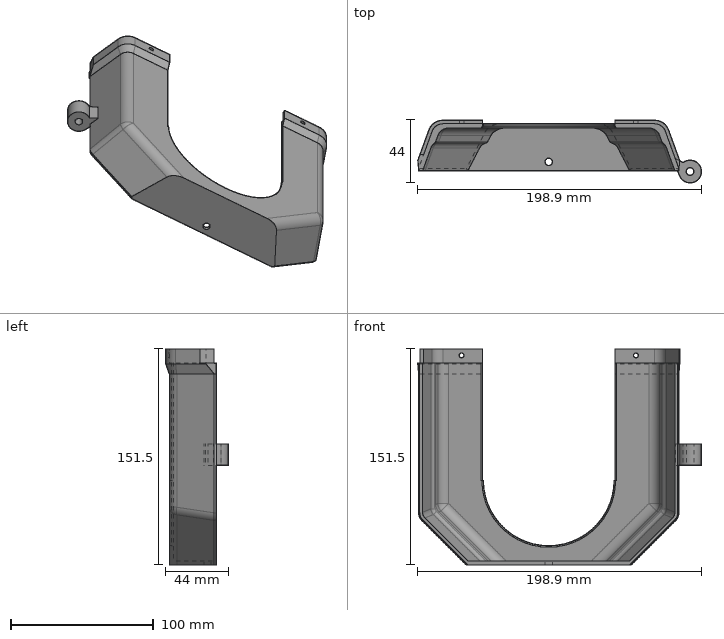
import cadquery as cq
import math


draft_angle = 20.0
draft = math.tan(math.radians(draft_angle))
body_depth = 33.0
floor_thickness = 3.0
bottom_thickness = 3.0
body_height = 141.5
overshoot = 150.0

outer_half_width = 91.8
lower_cavity_half_width = 88.4
upper_cavity_half_width = 86.7
corner_height = 33.3
corner_turn = math.radians(45)

corner_radius = 8.0
ledge_radius = 6.0
ledge_edge_radius = 2.0
upper_corner_raise = 1.0
lower_cavity_depth = 20.1
rim_chamfer_front = 1.7
rim_chamfer_side = 1.4

slot_half_width = 46.3
slot_arc_radius = 45.75
slot_arc_height = 59.4
slot_chamfer_width = 1.1
slot_chamfer_depth = 1.5

flange_thickness = 2.5
flange_top = 151.5
flange_bottom = 141.0
taper_bottom = 134.0
flange_overlap = 1.0
left_flange_start = 11.5
right_flange_start = 1.3
trim_half_width = 91.1
trim_slope = 0.1
flange_hole_diameter = 3.2
flange_hole_x = 61.1
flange_hole_z = 147.0

bottom_hole_diameter = 5.0
bottom_hole_y = 6.3
hinge_diameter = 16.0
hinge_hole_diameter = 5.2
hinge_x = 99.05
hinge_y = -0.5
hinge_bottom = 70.0
hinge_height = 15.0


def block(x_range, y_range, z_range):
    """Axis-aligned box from its limits."""
    sizes = [high - low for low, high in (x_range, y_range, z_range)]
    corner = (x_range[0], y_range[0], z_range[0])
    return cq.Workplane("XY").box(*sizes, centered=False).translate(corner)


def drafted_body(half_width, depth, edge_radius, corner_raise=0.0):
    """Drafted solid with 45 degree lower corners, closing in toward +Y.

    It runs past the top and bottom of the part so that only its side walls matter.
    """
    inset = outer_half_width - half_width
    corner_z = corner_height + corner_raise + inset * math.tan(corner_turn / 2)
    low_x = half_width - overshoot / 3
    low_z = corner_z - overshoot / 3
    high_z = body_height + overshoot
    right_side = [(low_z, low_x), (corner_z, half_width), (high_z, half_width)]
    left_side = [(z, -x) for z, x in reversed(right_side)]
    solid = (
        cq.Workplane("ZX")
        .polyline(right_side + left_side)
        .close()
        .extrude(depth, taper=draft_angle)
    )
    rounded_edges = solid.faces(">Y").edges("not |X").vals()
    mid_depth = depth / 2
    edge_x = half_width - draft * mid_depth
    edge_z = corner_z + draft * mid_depth * math.tan(corner_turn / 2)
    for side in (-1, 1):
        nearest = cq.selectors.NearestToPointSelector((side * edge_x, mid_depth, edge_z))
        rounded_edges.append(solid.edges(nearest).val())
    return solid.newObject(rounded_edges).fillet(edge_radius)


def cavity():
    """Inner space: a wide part at the rim steps in to a deeper part at the back plate."""
    upper_depth = body_depth - floor_thickness
    upper = drafted_body(upper_cavity_half_width, upper_depth, corner_radius, upper_corner_raise)
    lower = drafted_body(lower_cavity_half_width, lower_cavity_depth, ledge_radius)
    both = upper.union(lower)
    step_x = upper_cavity_half_width - draft * lower_cavity_depth
    turn_reach = (step_x - corner_height) / 2
    step_edges = []
    for side in (-1, 1):
        on_leg = (side * step_x, lower_cavity_depth, body_height)
        on_turn = (side * (step_x - turn_reach), lower_cavity_depth, corner_height - turn_reach)
        for point in (on_leg, on_turn):
            step_edges.append(both.edges(cq.selectors.NearestToPointSelector(point)).val())
    return both.newObject(step_edges).fillet(ledge_edge_radius)


def shell():
    """Walls, back plate and flat bottom."""
    outer = drafted_body(outer_half_width, body_depth, corner_radius)
    outer = outer.faces("<Y").chamfer(rim_chamfer_side, rim_chamfer_front)
    extent = (-overshoot, overshoot)
    outer = outer.intersect(block(extent, extent, (0, body_height)))
    above_bottom = block(extent, extent, (bottom_thickness, 2 * overshoot))
    return outer.cut(cavity().intersect(above_bottom))


def slot():
    """U-shaped opening with a chamfer on its front edge."""
    floor_y = body_depth - floor_thickness
    chamfer_back = floor_y + slot_chamfer_depth
    back_y = body_depth + flange_thickness
    center = cq.Vector(0, floor_y, slot_arc_height)
    along_y = cq.Vector(0, 1, 0)
    arc_hole = cq.Workplane(
        cq.Solid.makeCylinder(slot_arc_radius, back_y - floor_y, center, along_y)
    )
    arc_chamfer = cq.Solid.makeCone(
        slot_arc_radius + slot_chamfer_width, slot_arc_radius, slot_chamfer_depth, center, along_y
    )
    below_center = block(
        (-overshoot, overshoot), (0, back_y), (0, slot_arc_height)
    )
    wide = slot_half_width + slot_chamfer_width
    straight = (
        cq.Workplane("XY")
        .workplane(offset=slot_arc_height)
        .polyline([
            (-wide, floor_y),
            (wide, floor_y),
            (slot_half_width, chamfer_back),
            (slot_half_width, back_y),
            (-slot_half_width, back_y),
            (-slot_half_width, chamfer_back),
        ])
        .close()
        .extrude(overshoot)
    )
    return arc_hole.union(arc_chamfer).intersect(below_center).union(straight)


def band(plane, inner_offset, outer_offset):
    """Outline of a strip following the right leg's outside, between two offsets from it."""
    angle = math.radians(draft_angle)

    def path(offset):
        radius = corner_radius + offset
        back = body_depth + offset
        rim_x = outer_half_width + offset / math.cos(angle)
        tangent_y = back - radius * (1 - math.sin(angle))
        tangent_x = rim_x - draft * tangent_y
        arc_x = tangent_x - radius * math.cos(angle)
        middle = (math.pi / 2 + angle) / 2
        mid_point = (
            arc_x + radius * math.cos(middle),
            back - radius + radius * math.sin(middle),
        )
        return (slot_half_width, back), (arc_x, back), mid_point, (tangent_x, tangent_y), (rim_x, 0)

    start, arc_start, arc_mid, arc_end, end = path(outer_offset)
    in_start, in_arc_start, in_arc_mid, in_arc_end, in_end = path(inner_offset)
    return (
        plane.moveTo(*start)
        .lineTo(*arc_start)
        .threePointArc(arc_mid, arc_end)
        .lineTo(*end)
        .lineTo(*in_end)
        .lineTo(*in_arc_end)
        .threePointArc(in_arc_mid, in_arc_start)
        .lineTo(*in_start)
        .close()
    )


def flange(start_y):
    """Right-hand flange with its tapered root; above the leg it starts at start_y."""
    root = cq.Workplane("XY").workplane(offset=taper_bottom)
    root = band(root, -flange_overlap, 0).workplane(offset=flange_bottom - taper_bottom)
    root = band(root, -flange_overlap, flange_thickness).loft(ruled=True)
    collar = cq.Workplane("XY").workplane(offset=flange_bottom)
    collar = band(collar, -flange_overlap, flange_thickness).extrude(body_height - flange_bottom)
    lip = cq.Workplane("XY").workplane(offset=flange_bottom)
    lip = band(lip, 0, flange_thickness).extrude(flange_top - flange_bottom)
    lip = lip.cut(block((0, overshoot), (-1, start_y), (body_height, flange_top)))
    back = body_depth + flange_thickness
    side_limit = (
        cq.Workplane("XY")
        .polyline([
            (0, 0),
            (trim_half_width, 0),
            (trim_half_width + trim_slope * back, back),
            (0, back),
        ])
        .close()
        .extrude(flange_top)
    )
    hole = (
        cq.Workplane("ZX")
        .center(flange_hole_z, flange_hole_x)
        .circle(flange_hole_diameter / 2)
        .extrude(back)
    )
    return root.union(collar).union(lip).intersect(side_limit).cut(hole)


def hinge():
    """Knuckle with a web that joins it to the right wall."""
    radius = hinge_diameter / 2
    base = cq.Workplane("XY").workplane(offset=hinge_bottom)
    knuckle = base.center(hinge_x, hinge_y).circle(radius).extrude(hinge_height)
    lower_angle = math.radians(200)
    upper_angle = math.radians(127)
    web_wall_y = 8.9
    web_wall_x = outer_half_width - draft * web_wall_y - flange_overlap / 2
    web_rim_x = outer_half_width - rim_chamfer_front
    web = (
        base.moveTo(hinge_x, hinge_y)
        .lineTo(hinge_x + radius * math.cos(upper_angle), hinge_y + radius * math.sin(upper_angle))
        .lineTo(web_wall_x, web_wall_y)
        .lineTo(web_rim_x, 0)
        .lineTo(hinge_x + radius * math.cos(lower_angle), hinge_y + radius * math.sin(lower_angle))
        .close()
        .extrude(hinge_height)
    )
    pin_hole = base.center(hinge_x, hinge_y).circle(hinge_hole_diameter / 2).extrude(hinge_height)
    return knuckle.union(web).cut(pin_hole)


bottom_hole = (
    cq.Workplane("XY")
    .center(0, bottom_hole_y)
    .circle(bottom_hole_diameter / 2)
    .extrude(bottom_thickness)
)

result = (
    shell()
    .cut(slot())
    .cut(bottom_hole)
    .union(flange(right_flange_start))
    .union(flange(left_flange_start).mirror("YZ"))
    .union(hinge())
)